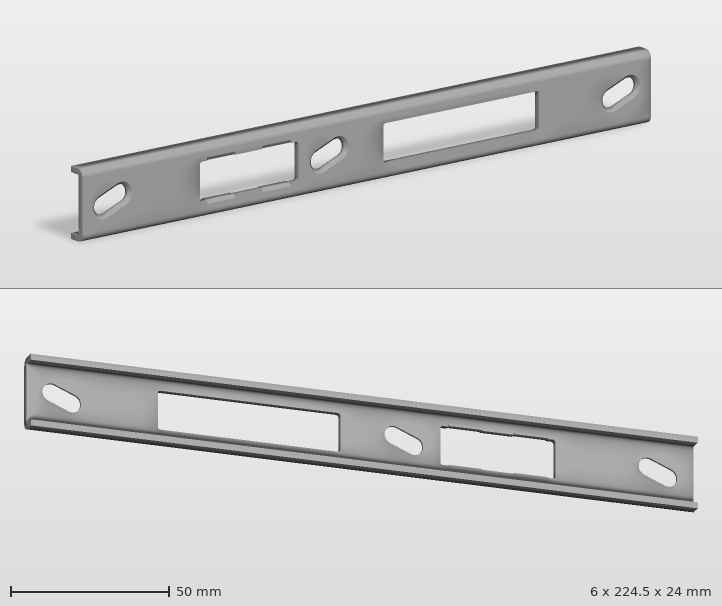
import cadquery as cq

length = 224.5
depth = 6.0
height = 24.0
wall = 2.0
inner_bend = 0.5
outer_bend = inner_bend + wall

window_height = 13.0
window_corner = 1.0
long_window_length = 61.5
long_window_y = 37.3
short_window_length = 38.8
short_window_y = -46.5

slot_width = 6.0
slot_centers = 7.5
slot_angle = 22.0
slot_chamfer = 1.1
slot_positions = (100.4, -14.8, -100.4)

lip_length = 11.2
lip_offset = 11.0
lip_rise = 0.7
lip_base = 1.1

web_back = depth / 2
web_face = web_back - wall


def channel():
    """U-shaped section with rounded bends, extruded along Y."""
    outer = (
        cq.Workplane("XY")
        .box(depth, length, height)
        .edges("|Y and >X")
        .fillet(outer_bend)
    )
    inner = (
        cq.Workplane("XY")
        .box(depth - wall, length, height - 2 * wall)
        .translate((-wall / 2, 0, 0))
        .edges("|Y and >X")
        .fillet(inner_bend)
    )
    return outer.cut(inner)


def window(window_length, y):
    """Cutter for a rounded rectangular opening in the web."""
    return (
        cq.Workplane("XY")
        .box(2 * depth, window_length, window_height)
        .edges("|X")
        .fillet(window_corner)
        .translate((0, y, 0))
    )


def slot(y):
    """Cutter for an inclined slot rising toward +Y, chamfered at the back of the web."""
    through = (
        cq.Workplane("YZ")
        .center(y, 0)
        .slot2D(slot_centers + slot_width, slot_width, slot_angle)
        .extrude(depth, both=True)
    )
    mouth_width = slot_width + 2 * slot_chamfer
    mouth = (
        cq.Workplane("YZ", origin=(web_back, y, 0))
        .slot2D(slot_centers + mouth_width, mouth_width, slot_angle)
        .extrude(-slot_chamfer, taper=45)
    )
    return through.union(mouth)


def lip_wedge(x, y, side):
    """Wedge on the plane at x, rising toward -X from its foot to the window edge."""
    crest_z = side * window_height / 2
    foot_z = crest_z + side * lip_base
    return (
        cq.Workplane("XZ", origin=(0, y, 0))
        .polyline([(x, crest_z), (x - lip_rise, crest_z), (x, foot_z)])
        .close()
        .extrude(lip_length / 2, both=True)
    )


result = channel()
result = result.cut(window(long_window_length, long_window_y))
result = result.cut(window(short_window_length, short_window_y))

for slot_y in slot_positions:
    result = result.cut(slot(slot_y))

for end in (-1, 1):
    for side in (-1, 1):
        lip_y = short_window_y + end * lip_offset
        result = result.union(lip_wedge(web_face, lip_y, side))
        result = result.cut(lip_wedge(web_back, lip_y, side))